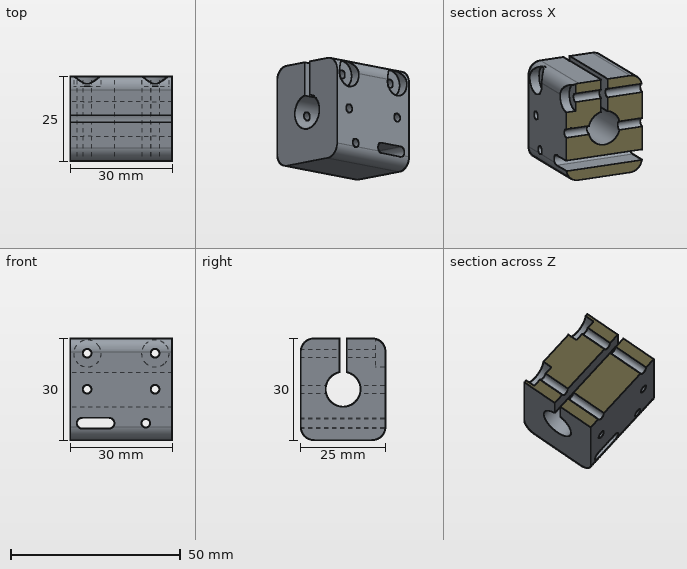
import cadquery as cq

length = 30.0
depth = 25.0
height = 30.0
corner_radius = 4.0

bore_diameter = 10.2
slit_width = 2.0

screw_diameter = 2.5
screw_x = 10.0
upper_screw_z = 10.6
lower_z = -10.0
single_screw_x = 7.25

recess_diameter = 8.0
recess_depth = 3.0

slot_length = 11.0
slot_width = 3.1
slot_x = -7.5

back_y = depth / 2


def cylinder_along_y(diameter, x, z, start_y, reach):
    """Cylinder running from start_y toward -Y."""
    profile = cq.Workplane("XZ", origin=(x, start_y, z)).circle(diameter / 2)
    return profile.extrude(reach)


block = cq.Workplane("XY").box(length, depth, height).edges("|X").fillet(corner_radius)

bore = cq.Workplane("YZ").circle(bore_diameter / 2).extrude(length / 2, both=True)
slit = cq.Workplane("XY").box(length, slit_width, height / 2).translate((0, 0, height / 4))
result = block.cut(bore).cut(slit)

screw_places = [(side * screw_x, z) for side in (-1, 1) for z in (0, upper_screw_z)]
screw_places.append((single_screw_x, lower_z))
for x, z in screw_places:
    result = result.cut(cylinder_along_y(screw_diameter, x, z, back_y, depth))

for side in (-1, 1):
    recess = cylinder_along_y(recess_diameter, side * screw_x, upper_screw_z, back_y, recess_depth)
    result = result.cut(recess)

slot = (
    cq.Workplane("XZ", origin=(slot_x, 0, lower_z))
    .slot2D(slot_length, slot_width)
    .extrude(depth / 2, both=True)
)
result = result.cut(slot)